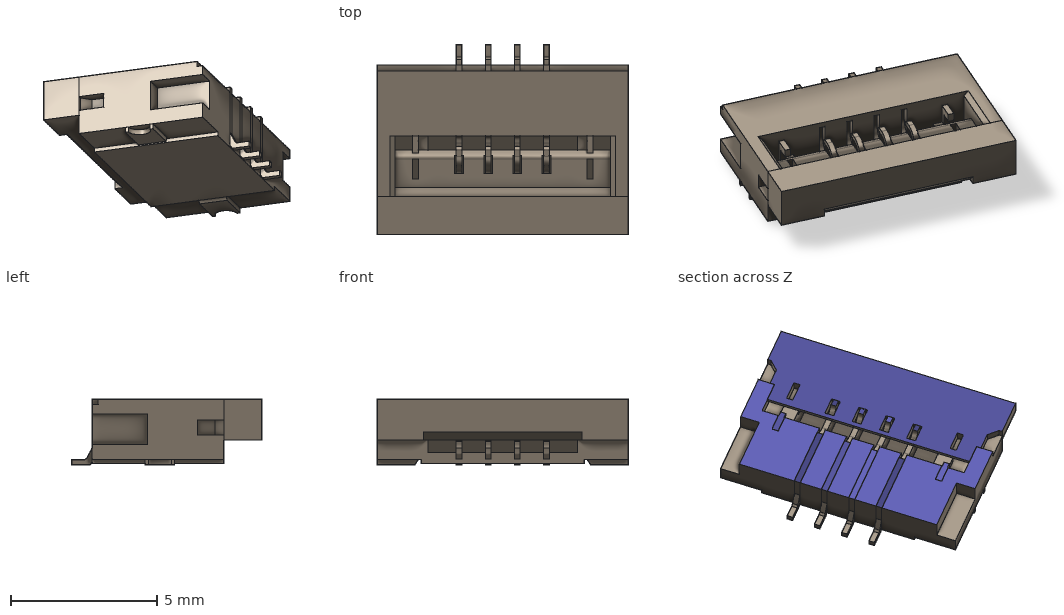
import cadquery as cq
import math


width = 8.6
height = 2.25
housing_depth = 4.51
bottom_gap = 0.04
side_underside = 0.18
bottom_rib_width = 5.59

hinge_y = 1.38
hinge_z = 1.29
hinge_radius = 0.3
tongue_end = 1.59
hook_thickness = 0.17
hook_radius = 0.585
hook_top = hinge_z + hook_radius

contact_count = 4
pitch = 1.0
contact_width = 0.2
contact_base = 0.2
contact_top = 2.06
contact_xs = [(i - (contact_count - 1) / 2) * pitch for i in range(contact_count)]
post_depth = 0.21
hook_end = 1.71
hook_corner = 0.12
throat_start = 1.83
throat_radius = 0.49
ramp_foot_z = 0.58
ramp_top_z = 0.8
nose_y = 0.8
tail_length = 0.7
tail_thickness = 0.18
tail_bend_end = 0.27
tail_bend_start = 0.18
tail_bend_z = 0.23
tail_root_top = 0.585
tail_root_bottom = 0.1
tail_heel = 0.07

opening_width = 7.38
opening_chamfer = 0.16
opening_depth = 2.08
opening_floor = hinge_z - hinge_radius
channel_width = 5.11
channel_floor = 0.42
ledge_start = tongue_end
ledge_top = 1.195
side_recess_start = 2.61
side_recess_depth = 0.68
side_recess_bottom = 0.705
side_recess_top = 1.75
window_depth = 0.895
window_bottom = 1.03
window_top = 1.53

nail_x = 3 * pitch
nail_width = 0.21
nail_inner = nail_x - nail_width / 2
nail_outer = nail_x + nail_width / 2
pad_start = 1.685
pad_depth = 1.01
pad_bevel = 0.12
pad_notch_radius = 0.395
nail_web_start = 1.91
nail_beam_start = 1.5
nail_beam_thickness = 0.28

lever_depth = 1.3
lever_bottom = 0.85
lead_in = 0.28
lead_in_width = 5.435
flare = 0.31
lug_reach = 3.87
contact_slot_width = 0.3
contact_slot_end = 1.41
nail_slot_start = 0.61
nail_slot_end = tongue_end - hinge_radius


def box(x0, x1, y0, y1, z0, z1):
    """Rectangular block between two corners."""
    return cq.Workplane("XY").box(x1 - x0, y1 - y0, z1 - z0, centered=False).translate((x0, y0, z0))


def centred_box(x_size, y0, y1, z0, z1):
    """Rectangular block centred on X = 0."""
    return box(-x_size / 2, x_size / 2, y0, y1, z0, z1)


def both_sides(solid):
    """A block on the +X side together with its mirror image."""
    return solid.union(solid.mirror("YZ"))


def make_contact(x):
    """Contact with a front hook around the hinge, a body in the housing and a bent tail."""
    back = housing_depth
    tail_end = back + tail_length
    hook_foot_y = hinge_y - math.sqrt(hook_radius**2 - (hinge_z - ramp_top_z) ** 2)
    ramp_foot_y = hook_foot_y - (ramp_top_z - ramp_foot_z)
    throat_end = throat_start + throat_radius
    throat_z = opening_floor + throat_radius
    hook_underside = hook_top - hook_thickness
    mouth_radius = (hook_underside - opening_floor) / 2
    diagonal = math.sqrt(0.5)
    outline = (
        cq.Workplane("YZ")
        .moveTo(tail_end, 0)
        .lineTo(tail_end, tail_thickness)
        .lineTo(back + tail_bend_end, tail_thickness)
        .lineTo(back + tail_bend_start, tail_bend_z)
        .lineTo(back, tail_root_top)
        .lineTo(back, height)
        .lineTo(back - post_depth, height)
        .lineTo(back - post_depth, contact_top)
        .lineTo(throat_end, contact_top)
        .lineTo(throat_end, throat_z)
        .threePointArc(
            (throat_start + throat_radius * diagonal, throat_z - throat_radius * diagonal),
            (throat_start, opening_floor),
        )
        .lineTo(hinge_y, opening_floor)
        .threePointArc((hinge_y - mouth_radius, opening_floor + mouth_radius), (hinge_y, hook_underside))
        .lineTo(hook_end, hook_underside)
        .lineTo(hook_end, hook_top - hook_corner)
        .threePointArc(
            (hook_end - hook_corner * (1 - diagonal), hook_top - hook_corner * (1 - diagonal)),
            (hook_end - hook_corner, hook_top),
        )
        .lineTo(hinge_y, hook_top)
        .threePointArc((hinge_y - hook_radius, hinge_z), (hook_foot_y, ramp_top_z))
        .lineTo(ramp_foot_y, ramp_foot_z)
        .lineTo(nose_y, contact_base)
        .lineTo(back, contact_base)
        .lineTo(back, tail_root_bottom)
        .lineTo(back + tail_heel, 0)
        .close()
    )
    return outline.extrude(contact_width / 2, both=True).translate((x, 0, 0))


def make_nail():
    """Solder nail on the +X side: a notched pad and an upright plate with a forward beam."""
    pad_end = pad_start + pad_depth
    pad = (
        cq.Workplane("XZ", origin=(0, pad_end, 0))
        .polyline([
            (width / 2, 0),
            (width / 2, side_underside),
            (nail_inner, side_underside),
            (nail_inner + pad_bevel, 0),
        ])
        .close()
        .extrude(pad_depth)
    )
    notch = (
        cq.Workplane("XY")
        .center(width / 2, pad_start + pad_depth / 2)
        .circle(pad_notch_radius)
        .extrude(side_underside)
    )
    web = box(nail_inner, nail_outer, nail_web_start, pad_end, side_underside, hook_top)
    beam = box(nail_inner, nail_outer, nail_beam_start, pad_end, hook_top - nail_beam_thickness, hook_top)
    return pad.cut(notch).union(web).union(beam)


def make_opening():
    """Space for the tongue, open to the front and bevelled along both top side edges."""
    half = opening_width / 2
    return (
        cq.Workplane("XZ", origin=(0, opening_depth, 0))
        .polyline([
            (-half, opening_floor),
            (half, opening_floor),
            (half, height - opening_chamfer),
            (half + opening_chamfer, height),
            (-half - opening_chamfer, height),
            (-half, height - opening_chamfer),
        ])
        .close()
        .extrude(opening_depth)
    )


def make_housing(nails):
    side = width / 2
    body = centred_box(width, 0, housing_depth, side_underside, height)
    body = body.union(centred_box(bottom_rib_width, 0, housing_depth, bottom_gap, side_underside))

    body = body.cut(make_opening())
    ledge = box(channel_width / 2, nail_outer, ledge_start, opening_depth, opening_floor, ledge_top)
    body = body.union(both_sides(ledge))
    body = body.cut(centred_box(channel_width, 0, opening_depth, channel_floor, opening_floor))

    body = body.cut(centred_box(width, housing_depth - post_depth, housing_depth, contact_top, height))

    recess = box(side - side_recess_depth, side, side_recess_start, housing_depth,
                 side_recess_bottom, side_recess_top)
    window = box(opening_width / 2, side, 0, window_depth, window_bottom, window_top)
    body = body.cut(both_sides(recess)).cut(both_sides(window))

    for x in contact_xs:
        floor_slot = centred_box(contact_width, 0, housing_depth, contact_base, channel_floor)
        wall_slot = centred_box(contact_width, opening_depth, housing_depth, contact_base, contact_top)
        body = body.cut(floor_slot.union(wall_slot).translate((x, 0, 0)))

    for nail in nails:
        body = body.cut(nail)
    return body


def make_actuator():
    tongue_top = hinge_z + hinge_radius

    lever = centred_box(width, -lever_depth, 0, lever_bottom, height)
    lead_in_cut = (
        cq.Workplane("YZ")
        .polyline([
            (-lever_depth, lever_bottom),
            (-lever_depth + lead_in, lever_bottom),
            (-lever_depth, lever_bottom + lead_in),
        ])
        .close()
        .extrude(lead_in_width / 2, both=True)
    )

    nose_start = tongue_end - hinge_radius
    tongue = (
        cq.Workplane("YZ")
        .moveTo(0, opening_floor)
        .lineTo(nose_start, opening_floor)
        .threePointArc((tongue_end, hinge_z), (nose_start, tongue_top))
        .lineTo(flare, tongue_top)
        .lineTo(0, tongue_top + flare)
        .close()
        .extrude(opening_width / 2, both=True)
    )

    lug = (
        cq.Workplane("XY", origin=(0, 0, window_bottom))
        .polyline([
            (opening_width / 2, 0),
            (lug_reach + flare, 0),
            (lug_reach, flare),
            (lug_reach, window_depth),
            (opening_width / 2, window_depth),
        ])
        .close()
        .extrude(window_top - window_bottom)
    )
    body = lever.cut(lead_in_cut).union(tongue).union(both_sides(lug))

    for x in contact_xs:
        hook_slot = centred_box(contact_slot_width, hinge_y - hook_radius, contact_slot_end,
                                opening_floor, tongue_top)
        body = body.cut(hook_slot.translate((x, 0, 0)))
    nail_slot = box(nail_inner, nail_outer, nail_slot_start, nail_slot_end, opening_floor, tongue_top)
    return body.cut(both_sides(nail_slot))


right_nail = make_nail()
left_nail = right_nail.mirror("YZ")
nails = [left_nail, right_nail]
contacts = [make_contact(x) for x in contact_xs]
housing = make_housing(nails)
actuator = make_actuator()

result = cq.Compound.makeCompound(
    [housing.val(), actuator.val()]
    + [contact.val() for contact in contacts]
    + [nail.val() for nail in nails]
)